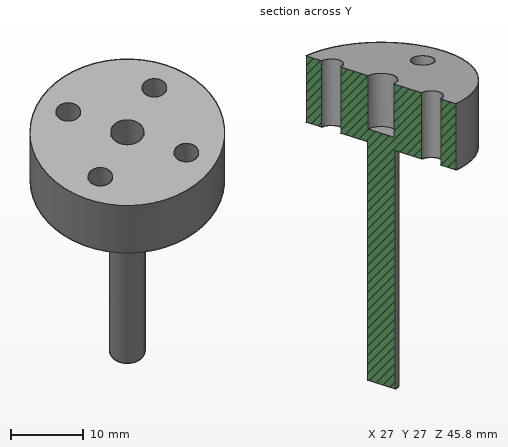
import cadquery as cq

total_height = 45.8
head_diameter = 27.0
head_thickness = 10.0
stem_diameter = 5.0
bore_diameter = 4.6
bore_depth = 8.0
bolt_hole_diameter = 3.4
bolt_circle_radius = 9.0
bolt_hole_count = 4

stem_length = total_height - head_thickness


def make_head():
    """Round head standing on the XY plane."""
    return cq.Workplane("XY").circle(head_diameter / 2).extrude(head_thickness)


def make_stem():
    """Round stem hanging below the head."""
    return cq.Workplane("XY").circle(stem_diameter / 2).extrude(-stem_length)


def cut_bore(body):
    """Blind flat-bottomed bore in the centre of the top face."""
    return body.faces(">Z").workplane(origin=(0, 0, 0)).hole(bore_diameter, bore_depth)


def cut_bolt_holes(body):
    """Evenly spaced holes through the head, the first one on +X."""
    return (
        body.faces(">Z")
        .workplane(origin=(0, 0, 0))
        .polarArray(bolt_circle_radius, 0, 360, bolt_hole_count)
        .hole(bolt_hole_diameter, head_thickness)
    )


body = make_head().union(make_stem())
body = cut_bore(body)
result = cut_bolt_holes(body)